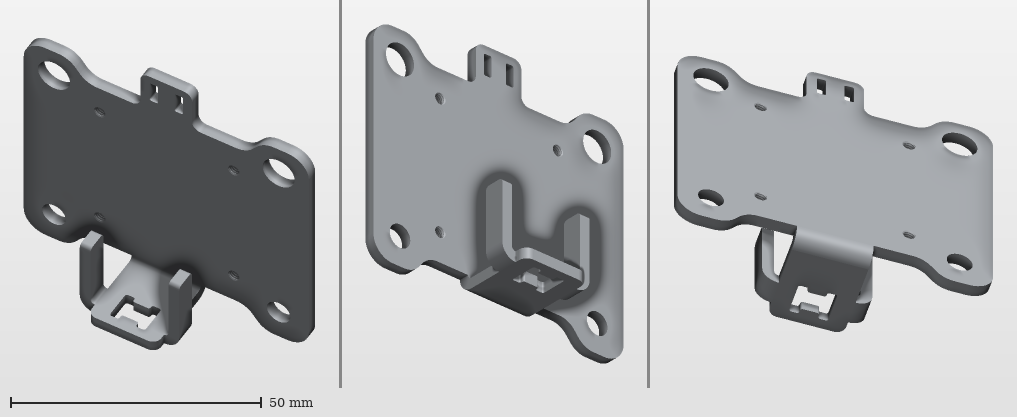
import cadquery as cq
import math


thickness = 2.5
bend_inner_radius = 1.0
bend_outer_radius = bend_inner_radius + thickness

plate_width = 66.0
lobe_top = 55.05
shoulder_drop = 5.0
lobe_flank_outer = 22.6
lobe_flank_inner = 18.5
lobe_radius = 5.0
bottom_edge = shoulder_drop
top_edge = lobe_top - shoulder_drop

tab_width = 12.0
tab_top = 60.0
tab_radius = 2.0
strap_slot_width = 2.0
strap_slot_height = 5.0
strap_slot_spacing = 5.8
strap_slot_bottom = 53.05
strap_slot_radius = 0.4

corner_hole_x = 26.0
upper_hole_z = 48.05
upper_hole_diameter = 7.4
lower_hole_z = 7.05
lower_hole_diameter = 5.4

thread_spacing = 31.0
thread_centre_z = 27.6
thread_minor_diameter = 2.45
thread_major_diameter = 3.05
thread_pitch = 0.5
thread_groove_width = 0.4
thread_overlap = 0.05
thread_run_out = 2 * thread_pitch

shelf_width = 16.05
shelf_front = -20.0
shelf_radius = 2.0
shelf_top = bottom_edge - bend_inner_radius
shelf_bottom = shelf_top - thickness

cutout_width = 8.2
cutout_back = -11.35
cutout_front = -17.9
cutout_waist_width = 3.95
cutout_back_tongue = 1.05
cutout_front_tongue = 1.25
cutout_radius = 0.45

arm_back = -11.95
arm_width = 5.0
arm_top = 19.8
arm_tip_radius = 1.0
arm_inner_x = shelf_width / 2 + bend_inner_radius
arm_outer_x = arm_inner_x + thickness


def rounded_outline(workplane, corners):
    """Closed outline through (u, v, radius) corners, each rounded by a tangent arc."""
    outline = workplane
    for index, (u, v, radius) in enumerate(corners):
        corner = cq.Vector(u, v)
        before = cq.Vector(*corners[index - 1][:2])
        after = cq.Vector(*corners[(index + 1) % len(corners)][:2])
        to_before = (before - corner).normalized()
        to_after = (after - corner).normalized()
        half_angle = to_before.getAngle(to_after) / 2
        tangent_length = radius / math.tan(half_angle)
        bisector = (to_before + to_after).normalized()
        arc_start = corner + to_before * tangent_length
        arc_middle = corner + bisector * (radius / math.sin(half_angle) - radius)
        arc_end = corner + to_after * tangent_length
        if index == 0:
            outline = outline.moveTo(arc_start.x, arc_start.y)
        else:
            outline = outline.lineTo(arc_start.x, arc_start.y)
        outline = outline.threePointArc((arc_middle.x, arc_middle.y), (arc_end.x, arc_end.y))
    return outline.close()


def mirrored(right_half):
    """Add the left half, in reverse order, to the corners on the +X side."""
    return right_half + [(-u, v, radius) for u, v, radius in reversed(right_half)]


def quarter_bend(workplane, centre_u, centre_v, side):
    """Bend section running from the +U (side = 1) or -U (side = -1) direction round to -V."""
    diagonal = math.sqrt(0.5)
    inner_middle = (centre_u + side * diagonal * bend_inner_radius, centre_v - diagonal * bend_inner_radius)
    outer_middle = (centre_u + side * diagonal * bend_outer_radius, centre_v - diagonal * bend_outer_radius)
    return (
        workplane.moveTo(centre_u + side * bend_inner_radius, centre_v)
        .lineTo(centre_u + side * bend_outer_radius, centre_v)
        .threePointArc(outer_middle, (centre_u, centre_v - bend_outer_radius))
        .lineTo(centre_u, centre_v - bend_inner_radius)
        .threePointArc(inner_middle, (centre_u + side * bend_inner_radius, centre_v))
        .close()
    )


def make_plate():
    right_half = [
        (tab_width / 2, tab_top, tab_radius),
        (tab_width / 2, top_edge, tab_radius),
        (lobe_flank_inner, top_edge, lobe_radius),
        (lobe_flank_outer, lobe_top, lobe_radius),
        (plate_width / 2, lobe_top, lobe_radius),
        (plate_width / 2, 0, lobe_radius),
        (lobe_flank_outer, 0, lobe_radius),
        (lobe_flank_inner, bottom_edge, lobe_radius),
    ]
    return rounded_outline(cq.Workplane("XZ"), mirrored(right_half)).extrude(thickness)


def make_plate_cutters():
    """Strap slots and plain corner holes."""
    slot_z = strap_slot_bottom + strap_slot_height / 2
    cutters = (
        cq.Workplane("XZ")
        .pushPoints([(-strap_slot_spacing / 2, slot_z), (strap_slot_spacing / 2, slot_z)])
        .rect(strap_slot_width, strap_slot_height)
        .extrude(thickness)
        .edges("|Y")
        .fillet(strap_slot_radius)
    )
    for z, diameter in ((upper_hole_z, upper_hole_diameter), (lower_hole_z, lower_hole_diameter)):
        holes = cq.Workplane("XZ").pushPoints([(-corner_hole_x, z), (corner_hole_x, z)])
        cutters = cutters.union(holes.circle(diameter / 2).extrude(thickness))
    return cutters


def make_thread_cutter():
    """Core drill plus V-shaped helical groove along Z, running past both ends of the hole."""
    core_radius = thread_minor_diameter / 2
    crest_radius = thread_major_diameter / 2
    root_radius = core_radius - thread_overlap
    root_half_width = thread_groove_width / 2 * (crest_radius - root_radius) / (crest_radius - core_radius)
    length = thickness + 2 * thread_run_out
    helix = cq.Wire.makeHelix(thread_pitch, length, core_radius)
    groove = (
        cq.Workplane("XZ")
        .moveTo(root_radius, -root_half_width)
        .lineTo(crest_radius, 0)
        .lineTo(root_radius, root_half_width)
        .close()
        .sweep(cq.Workplane(helix), isFrenet=True)
    )
    core = cq.Workplane("XY").circle(core_radius).extrude(length)
    return core.union(groove)


def cut_threads(body):
    cutter = make_thread_cutter().rotate((0, 0, 0), (1, 0, 0), 90)
    for x_side in (-1, 1):
        for z_side in (-1, 1):
            x = x_side * thread_spacing / 2
            z = thread_centre_z + z_side * thread_spacing / 2
            body = body.cut(cutter.translate((x, thread_run_out, z)))
    return body


def make_shelf():
    bend_start = -bend_outer_radius
    bend = quarter_bend(cq.Workplane("YZ"), bend_start, bottom_edge, 1).extrude(shelf_width / 2, both=True)
    flat = (
        cq.Workplane("XY", origin=(0, 0, shelf_bottom))
        .moveTo(-shelf_width / 2, bend_start)
        .lineTo(shelf_width / 2, bend_start)
        .lineTo(shelf_width / 2, shelf_front)
        .lineTo(-shelf_width / 2, shelf_front)
        .close()
        .extrude(thickness)
        .edges("|Z and <Y")
        .fillet(shelf_radius)
    )
    return bend.union(flat)


def make_shelf_cutout():
    right_half = [
        (cutout_waist_width / 2, cutout_back - cutout_back_tongue, cutout_radius),
        (cutout_waist_width / 2, cutout_back, cutout_radius),
        (cutout_width / 2, cutout_back, cutout_radius),
        (cutout_width / 2, cutout_front, cutout_radius),
        (cutout_waist_width / 2, cutout_front, cutout_radius),
        (cutout_waist_width / 2, cutout_front + cutout_front_tongue, cutout_radius),
    ]
    plane = cq.Workplane("XY", origin=(0, 0, shelf_bottom))
    return rounded_outline(plane, mirrored(right_half)).extrude(thickness)


def make_arm(side):
    plane = cq.Workplane("XZ", origin=(0, arm_back, 0))
    bend = quarter_bend(plane, side * shelf_width / 2, bottom_edge, side).extrude(arm_width)
    upright = (
        plane.center(side * (arm_inner_x + arm_outer_x) / 2, (bottom_edge + arm_top) / 2)
        .rect(thickness, arm_top - bottom_edge)
        .extrude(arm_width)
        .edges("|X and >Z")
        .fillet(arm_tip_radius)
    )
    return bend.union(upright)


body = make_plate().cut(make_plate_cutters())
body = cut_threads(body)
shelf = make_shelf().cut(make_shelf_cutout())
for side in (-1, 1):
    shelf = shelf.union(make_arm(side))
result = body.union(shelf)